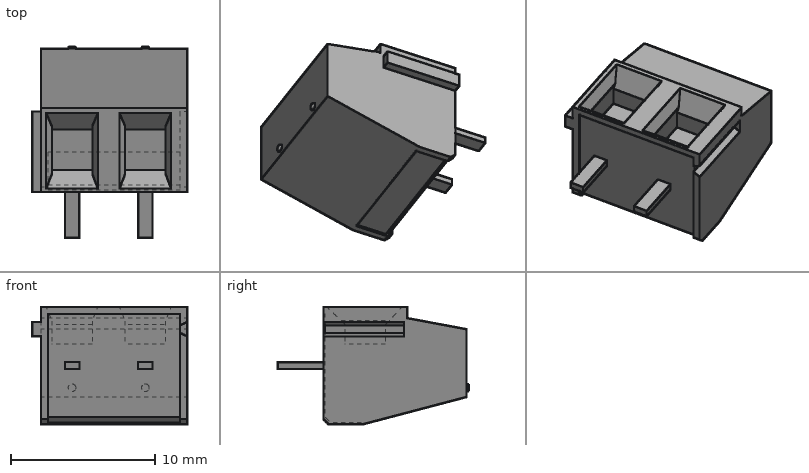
import cadquery as cq


body_width = 10.16
body_depth = 9.94
body_height = 8.13
step_y = 5.83
step_z = 7.36
rear_top_z = 6.6
rear_bottom_z = 1.88
bottom_flat_end_y = 2.79
bottom_chamfer = 0.36

frame_wall = 0.5
recess_depth = 0.13

rib_projection = 0.61
rib_height = 1.01
rib_center_z = 6.6
rib_length = 5.59
groove_floor_height = 0.53

pole_pitch = 5.08
first_pole_x = 2.16
pole_positions = [first_pole_x, first_pole_x + pole_pitch]

pin_width = 1.01
pin_thickness = 0.49
pin_length = 3.17
pin_center_z = 4.06

button_diameter = 0.53
button_height = 0.16
button_edge_radius = 0.15
button_center_z = 2.53

mouth_width = 3.58
mouth_front_y = 0.24
mouth_rear_y = 5.47
well_size = 2.81
well_front_y = 1.51
well_rear_y = well_front_y + well_size
pocket_depth = 2.56
end_taper_depth = 1.21
side_taper_depth = 0.94


def extrude_along_x(points, start_x, length):
    """Extrude a closed (y, z) outline in the +X direction."""
    return cq.Workplane("YZ").workplane(offset=start_x).polyline(points).close().extrude(length)


def extrude_along_y(points, start_y, length):
    """Extrude a closed (x, z) outline in the +Y direction."""
    return cq.Workplane("XZ").workplane(offset=-start_y).polyline(points).close().extrude(-length)


def make_body():
    outline = [
        (0, bottom_chamfer),
        (0, body_height),
        (step_y, body_height),
        (step_y, step_z),
        (body_depth, rear_top_z),
        (body_depth, rear_bottom_z),
        (bottom_flat_end_y, 0),
        (bottom_chamfer, 0),
    ]
    return extrude_along_x(outline, 0, body_width)


def make_recess():
    """Shallow cut that follows the pin face, the chamfer and the flat underside."""
    top_z = body_height - frame_wall
    outline = [
        (0, 0),
        (0, top_z),
        (recess_depth, top_z),
        (recess_depth, recess_depth + bottom_chamfer),
        (recess_depth + bottom_chamfer, recess_depth),
        (bottom_flat_end_y, recess_depth),
        (bottom_flat_end_y, 0),
    ]
    return extrude_along_x(outline, frame_wall, body_width - 2 * frame_wall)


def make_rib():
    rib = cq.Workplane("XY").box(rib_projection, rib_length, rib_height, centered=(False, False, True))
    return rib.translate((-rib_projection, 0, rib_center_z))


def make_groove():
    floor_x = body_width - frame_wall
    outline = [
        (body_width, rib_center_z - rib_height / 2),
        (body_width, rib_center_z + rib_height / 2),
        (floor_x, rib_center_z + groove_floor_height / 2),
        (floor_x, rib_center_z - groove_floor_height / 2),
    ]
    return extrude_along_y(outline, 0, rib_length)


def make_pocket(center_x):
    """The side walls straighten at a shallower depth than the end walls."""
    floor_z = body_height - pocket_depth
    end_taper_z = body_height - end_taper_depth
    side_taper_z = body_height - side_taper_depth
    lengthwise_outline = [
        (mouth_front_y, body_height),
        (mouth_rear_y, body_height),
        (well_rear_y, end_taper_z),
        (well_rear_y, floor_z),
        (well_front_y, floor_z),
        (well_front_y, end_taper_z),
    ]
    half_mouth = mouth_width / 2
    half_well = well_size / 2
    crosswise_outline = [
        (center_x - half_mouth, body_height),
        (center_x + half_mouth, body_height),
        (center_x + half_well, side_taper_z),
        (center_x + half_well, floor_z),
        (center_x - half_well, floor_z),
        (center_x - half_well, side_taper_z),
    ]
    lengthwise = extrude_along_x(lengthwise_outline, center_x - half_mouth, mouth_width)
    crosswise = extrude_along_y(crosswise_outline, mouth_front_y, mouth_rear_y - mouth_front_y)
    return lengthwise.intersect(crosswise)


def make_pin(center_x):
    length = pin_length + recess_depth
    pin = cq.Workplane("XY").box(pin_width, length, pin_thickness, centered=(True, False, True))
    return pin.translate((center_x, -pin_length, pin_center_z))


def make_button(center_x):
    button = cq.Workplane("XZ").circle(button_diameter / 2).extrude(-button_height)
    button = button.faces(">Y").edges().fillet(button_edge_radius)
    return button.translate((center_x, body_depth, button_center_z))


result = make_body().cut(make_recess()).cut(make_groove()).union(make_rib())
for pole_x in pole_positions:
    result = result.cut(make_pocket(pole_x))
    result = result.union(make_pin(pole_x))
    result = result.union(make_button(pole_x))